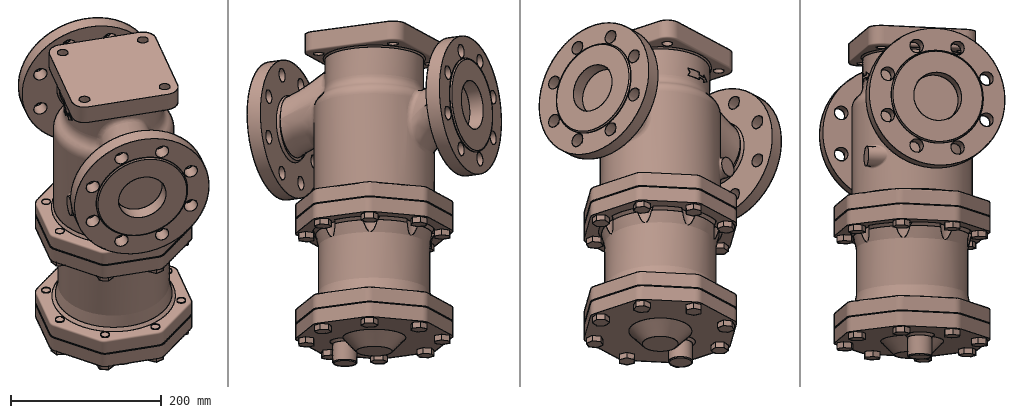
import cadquery as cq
import math

TOTAL_HEIGHT = 440.0
COVER_BOTTOM = 414.0
UPPER_JOINT = 195.5
LOWER_JOINT = 50.5
PORT_HEIGHT = 332.5

COVER_WIDTH = 145.5
COVER_CORNER = 17.5
COVER_EDGE = 2.0
THROAT_LIP = 2.0
COVER_HOLE_DIA = 14.0
COVER_HOLE_SPACING = 110.0

THROAT_RADIUS = 65.5
BODY_DIA = 160.0
SHOULDER_TOP = 373.7
SHOULDER_BOTTOM = 344.0
BARREL_RADIUS = 74.0
BODY_FOOT = 2.5
BODY_FOOT_HEIGHT = 4.5

FLARE_START_UPPER = 154.5
FLARE_UPPER_RADIUS = 78.0
FLARE_START_LOWER = 91.5
FLARE_END_LOWER = 75.3
FLARE_LOWER_RADIUS = 77.5
BARREL_FOOT = 4.5
BARREL_HEAD = 4.0

OCTAGON_WIDTH = 195.0
OCTAGON_HALF_THICKNESS = 20.5
OCTAGON_CORNER = 13.0
OCTAGON_EDGE = 2.5
GASKET_THICKNESS = 1.0
GASKET_INSET = 1.0
BOLT_COUNT = 8
BOLT_CIRCLE_RADIUS = 90.2
BOLT_HEAD_DIA = 23.0
BOLT_HEAD_HEIGHT = 8.0
HEXAGON_TURN = 30
STUD_DIA = 12.0
UPPER_STUD_HEIGHT = 0.5
LOWER_STUD_HEIGHT = 1.5
SPOT_FACE_DIA = 32.0

OVERALL_WIDTH = 290.0
PIPE_FLANGE_DIA = 185.0
PIPE_FLANGE_THICKNESS = 20.0
RAISED_FACE_DIA = 125.5
RAISED_FACE_HEIGHT = 2.5
RAISED_FACE_CHAMFER = 1.8
PIPE_BOLT_COUNT = 8
PIPE_BOLT_CIRCLE_DIA = 145.5
PIPE_BOLT_HOLE_DIA = 18.0
BORE_DIA = 65.0
BORE_DEPTH = 20.0

NECK_END_RADIUS = 42.3
NECK_OVERLAP = 2.5
COLLAR_RADIUS = 45.0
COLLAR_LENGTH = 4.0
INLET_SECTIONS = [
    (-119.0, 332.5, 42.0, 42.3),
    (-97.0, 329.0, 38.7, 38.0),
    (-81.5, 319.5, 37.5, 42.3),
    (-72.5, 311.2, 37.0, 47.5),
    (-53.0, 292.7, 36.5, 59.5),
]
OUTLET_SECTIONS = [
    (119.0, 335.0, 41.5, 41.5),
    (101.2, 342.5, 39.5, 41.0),
    (68.2, 357.0, 36.0, 46.0),
    (39.5, 363.0, 35.5, 47.5),
]
INLET_FILLET = 6.5
OUTLET_FILLET = 8.0

PLUG_X = 50.0
PLUG_HEIGHT = 266.8
PLUG_DIA = 26.5
PLUG_REACH = 74.5
PLUG_FILLET = 2.5

ARROW_HEIGHT = 383.5
ARROW_LENGTH = 40.5
ARROW_HALF_WIDTH = 5.5
ARROW_STEM_HALF_WIDTH = 1.8
ARROW_HEAD_LENGTH = 9.5
ARROW_NOTCH = 3.0
ARROW_RAISE = 0.5

DOME_TOP_RADIUS = 38.5
DOME_BOTTOM_RADIUS = 25.5
DOME_BOTTOM = 11.5
DOME_EDGE = 1.8
BOTTOM_FOOT = 3.5
DRAIN_X = 43.5
DRAIN_DIA = 32.0
DRAIN_CHAMFER = 1.5

UPPER_FLANGE_TOP = UPPER_JOINT + OCTAGON_HALF_THICKNESS
UPPER_FLANGE_BOTTOM = UPPER_JOINT - OCTAGON_HALF_THICKNESS
LOWER_FLANGE_TOP = LOWER_JOINT + OCTAGON_HALF_THICKNESS
LOWER_FLANGE_BOTTOM = LOWER_JOINT - OCTAGON_HALF_THICKNESS
PIPE_FACE_X = OVERALL_WIDTH / 2
PIPE_FLANGE_FRONT = PIPE_FACE_X - RAISED_FACE_HEIGHT
PIPE_FLANGE_BACK = PIPE_FLANGE_FRONT - PIPE_FLANGE_THICKNESS
BODY_RADIUS = BODY_DIA / 2
HALF_PITCH = 180 / BOLT_COUNT

TOUCH = 0.005


def bolt_points(bottom):
    """Workplane holding the eight bolt positions of an octagonal flange."""
    plane = cq.Workplane("XY", origin=(0, 0, bottom))
    return plane.polarArray(BOLT_CIRCLE_RADIUS, HALF_PITCH, 360, BOLT_COUNT)


def octagon(bottom, top, inset=0):
    across_corners = (OCTAGON_WIDTH - 2 * inset) / math.cos(math.radians(HALF_PITCH))
    plate = cq.Workplane("XY", origin=(0, 0, bottom)).polygon(BOLT_COUNT, across_corners)
    plate = plate.extrude(top - bottom).rotate((0, 0, 0), (0, 0, 1), HALF_PITCH)
    return plate.edges("|Z").fillet(OCTAGON_CORNER)


def body():
    """Throat, S-shaped shoulder, main body and flared barrel, turned about Z."""
    mid_radius = (THROAT_RADIUS + BODY_RADIUS) / 2
    mid_height = (SHOULDER_TOP + SHOULDER_BOTTOM) / 2
    outline = (
        cq.Workplane("XZ")
        .moveTo(0, LOWER_JOINT)
        .lineTo(FLARE_LOWER_RADIUS + BARREL_FOOT, LOWER_JOINT)
        .lineTo(FLARE_LOWER_RADIUS + BARREL_FOOT, LOWER_FLANGE_TOP)
        .lineTo(FLARE_LOWER_RADIUS, FLARE_END_LOWER)
        .lineTo(BARREL_RADIUS, FLARE_START_LOWER)
        .lineTo(BARREL_RADIUS, FLARE_START_UPPER)
        .lineTo(FLARE_UPPER_RADIUS, UPPER_FLANGE_BOTTOM - BARREL_HEAD)
        .lineTo(FLARE_UPPER_RADIUS + BARREL_HEAD, UPPER_FLANGE_BOTTOM)
        .lineTo(FLARE_UPPER_RADIUS + BARREL_HEAD, UPPER_FLANGE_TOP)
        .lineTo(BODY_RADIUS + BODY_FOOT, UPPER_FLANGE_TOP)
        .lineTo(BODY_RADIUS, UPPER_FLANGE_TOP + BODY_FOOT_HEIGHT)
        .lineTo(BODY_RADIUS, SHOULDER_BOTTOM)
        .tangentArcPoint((mid_radius, mid_height), relative=False)
        .tangentArcPoint((THROAT_RADIUS, SHOULDER_TOP), relative=False)
        .lineTo(THROAT_RADIUS, COVER_BOTTOM - THROAT_LIP)
        .lineTo(THROAT_RADIUS + THROAT_LIP, COVER_BOTTOM)
        .lineTo(0, COVER_BOTTOM)
        .close()
    )
    shape = outline.revolve(360, (0, 0, 0), (0, 1, 0)).rotate((0, 0, 0), (0, 0, 1), 90)
    spot_depth = UPPER_FLANGE_BOTTOM - FLARE_START_UPPER
    spot_faces = bolt_points(FLARE_START_UPPER).circle(SPOT_FACE_DIA / 2).extrude(spot_depth)
    return shape.cut(spot_faces)


def neck(side, sections):
    """Smoothly lofted neck from the back of a pipe flange into the body."""
    start_x = side * (PIPE_FLANGE_BACK + NECK_OVERLAP)
    first = (start_x, PORT_HEIGHT, NECK_END_RADIUS, NECK_END_RADIUS)
    wires = []
    for x, height, half_width, half_height in [first] + sections:
        plane = cq.Workplane("YZ", origin=(x, 0, height))
        wires.append(plane.ellipse(half_width, half_height).wire().val())
    return cq.Workplane(cq.Solid.makeLoft(wires))


def neck_collar(side):
    """Short cone that widens the neck where it meets the back of its pipe flange."""
    wide = cq.Workplane("YZ", origin=(side * PIPE_FLANGE_BACK, 0, PORT_HEIGHT)).circle(COLLAR_RADIUS)
    return wide.workplane(offset=-side * COLLAR_LENGTH).circle(NECK_END_RADIUS).loft()


def pipe_flange(side):
    """Flange with a raised face and bolt holes; side is -1 or +1 along X."""
    plane = cq.Workplane("YZ", origin=(side * PIPE_FLANGE_BACK, 0, PORT_HEIGHT))
    plate = plane.circle(PIPE_FLANGE_DIA / 2).extrude(side * PIPE_FLANGE_THICKNESS)
    holes = plane.polarArray(PIPE_BOLT_CIRCLE_DIA / 2, 180 / PIPE_BOLT_COUNT, 360, PIPE_BOLT_COUNT)
    plate = plate.cut(holes.circle(PIPE_BOLT_HOLE_DIA / 2).extrude(side * PIPE_FLANGE_THICKNESS))
    front = cq.Workplane("YZ", origin=(side * PIPE_FLANGE_FRONT, 0, PORT_HEIGHT))
    face = front.circle(RAISED_FACE_DIA / 2).extrude(side * RAISED_FACE_HEIGHT)
    face = face.faces(">X" if side > 0 else "<X").chamfer(RAISED_FACE_CHAMFER)
    return plate.union(face)


def bore(side):
    plane = cq.Workplane("YZ", origin=(side * PIPE_FACE_X, 0, PORT_HEIGHT))
    return plane.circle(BORE_DIA / 2).extrude(-side * BORE_DEPTH)


def cover():
    plate = (
        cq.Workplane("XY", origin=(0, 0, COVER_BOTTOM))
        .rect(COVER_WIDTH, COVER_WIDTH)
        .extrude(TOTAL_HEIGHT - COVER_BOTTOM)
        .edges("|Z")
        .fillet(COVER_CORNER)
        .faces("<Z")
        .edges()
        .fillet(COVER_EDGE)
    )
    square = plate.faces(">Z").workplane().rect(COVER_HOLE_SPACING, COVER_HOLE_SPACING, forConstruction=True)
    return square.vertices().hole(COVER_HOLE_DIA)


def joint_flange(joint):
    """Pair of octagonal plates clamped on a thin gasket by eight bolts."""
    top = joint + OCTAGON_HALF_THICKNESS
    bottom = joint - OCTAGON_HALF_THICKNESS
    half_gasket = GASKET_THICKNESS / 2
    upper = octagon(joint + half_gasket, top).faces(">Z").edges().fillet(OCTAGON_EDGE)
    lower = octagon(bottom, joint - half_gasket)
    gasket = octagon(joint - half_gasket, joint + half_gasket, GASKET_INSET)
    return upper.union(gasket).union(lower)


def bolts(joint, stud_height):
    """Hexagon heads under a joint flange and stud ends standing out of its top."""
    top = joint + OCTAGON_HALF_THICKNESS
    bottom = joint - OCTAGON_HALF_THICKNESS
    shape = bolt_points(top).circle(STUD_DIA / 2).extrude(stud_height)
    head = cq.Workplane("XY").polygon(6, BOLT_HEAD_DIA).extrude(BOLT_HEAD_HEIGHT)
    head = head.rotate((0, 0, 0), (0, 0, 1), HEXAGON_TURN)
    head = head.translate((BOLT_CIRCLE_RADIUS, 0, bottom - BOLT_HEAD_HEIGHT))
    for index in range(BOLT_COUNT):
        shape = shape.union(head.rotate((0, 0, 0), (0, 0, 1), (2 * index + 1) * HALF_PITCH))
    return shape


def plug():
    start = cq.Workplane("XZ", origin=(PLUG_X, 0, PLUG_HEIGHT))
    return start.circle(PLUG_DIA / 2).extrude(PLUG_REACH)


def flow_arrow():
    """Arrow pointing along +X, raised evenly above the round throat."""
    tail = -ARROW_LENGTH / 2
    head = -tail - ARROW_HEAD_LENGTH
    outline = (
        cq.Workplane("XZ", origin=(0, 0, ARROW_HEIGHT))
        .moveTo(tail + ARROW_NOTCH, 0)
        .lineTo(tail, ARROW_HALF_WIDTH)
        .lineTo(0, ARROW_HALF_WIDTH)
        .lineTo(0, ARROW_STEM_HALF_WIDTH)
        .lineTo(head, ARROW_STEM_HALF_WIDTH)
        .lineTo(head, ARROW_HALF_WIDTH)
        .lineTo(-tail, 0)
        .lineTo(head, -ARROW_HALF_WIDTH)
        .lineTo(head, -ARROW_STEM_HALF_WIDTH)
        .lineTo(0, -ARROW_STEM_HALF_WIDTH)
        .lineTo(0, -ARROW_HALF_WIDTH)
        .lineTo(tail, -ARROW_HALF_WIDTH)
        .close()
    )
    bar = outline.extrude(BODY_RADIUS)
    skin = cq.Workplane("XY", origin=(0, 0, SHOULDER_TOP)).circle(THROAT_RADIUS + ARROW_RAISE)
    return bar.intersect(skin.extrude(COVER_BOTTOM - SHOULDER_TOP))


def dome():
    """Tapered boss under the bottom flange with a sloped foot and a broken lower edge."""
    outline = (
        cq.Workplane("XZ")
        .moveTo(0, LOWER_FLANGE_BOTTOM)
        .lineTo(DOME_TOP_RADIUS + BOTTOM_FOOT, LOWER_FLANGE_BOTTOM)
        .lineTo(DOME_TOP_RADIUS, LOWER_FLANGE_BOTTOM - BOTTOM_FOOT)
        .lineTo(DOME_BOTTOM_RADIUS, DOME_BOTTOM + DOME_EDGE)
        .lineTo(DOME_BOTTOM_RADIUS - DOME_EDGE, DOME_BOTTOM)
        .lineTo(0, DOME_BOTTOM)
        .close()
    )
    return outline.revolve(360, (0, 0, 0), (0, 1, 0))


def drain():
    radius = DRAIN_DIA / 2
    stub = cq.Workplane("XY", origin=(DRAIN_X, 0, 0)).circle(radius).extrude(LOWER_FLANGE_BOTTOM)
    stub = stub.faces("<Z").chamfer(DRAIN_CHAMFER)
    foot = cq.Workplane("XY", origin=(DRAIN_X, 0, LOWER_FLANGE_BOTTOM)).circle(radius + BOTTOM_FOOT)
    foot = foot.workplane(offset=-BOTTOM_FOOT).circle(radius).loft()
    return stub.union(foot)


def join_with_fillet(base, added, radius):
    """Unite two shapes and round the edges where their surfaces meet."""
    merged = base.union(added)
    seam = []
    for edge in merged.edges().vals():
        middle = cq.Vertex.makeVertex(*edge.positionAt(0.5).toTuple())
        if middle.distance(base.val()) < TOUCH and middle.distance(added.val()) < TOUCH:
            seam.append(edge)
    return merged.newObject(seam).fillet(radius)


result = body()
result = join_with_fillet(result, neck(-1, INLET_SECTIONS), INLET_FILLET)
result = join_with_fillet(result, neck(1, OUTLET_SECTIONS), OUTLET_FILLET)
result = join_with_fillet(result, plug(), PLUG_FILLET)
for side in (-1, 1):
    result = result.union(neck_collar(side)).union(pipe_flange(side)).cut(bore(side))
for joint, stud_height in ((UPPER_JOINT, UPPER_STUD_HEIGHT), (LOWER_JOINT, LOWER_STUD_HEIGHT)):
    result = result.union(joint_flange(joint)).union(bolts(joint, stud_height))
result = result.union(flow_arrow()).union(cover()).union(dome()).union(drain())